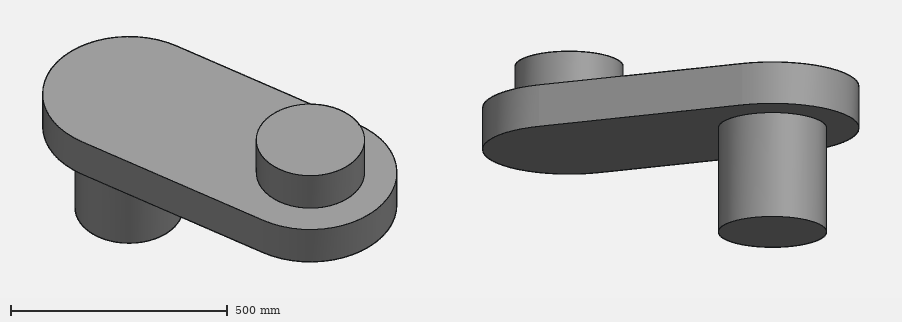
import cadquery as cq

arm_length = 900.0
arm_width = 400.0
arm_thickness = 100.0
pin_spacing = arm_length - arm_width

pin_diameter = 250.0
lower_pin_length = pin_diameter
upper_pin_length = arm_thickness


def make_pin(x, bottom_z, length):
    """Upright cylinder centred on the arm's long axis."""
    return (
        cq.Workplane("XY", origin=(x, 0, bottom_z))
        .circle(pin_diameter / 2)
        .extrude(length)
    )


arm = cq.Workplane("XY").slot2D(arm_length, arm_width).extrude(arm_thickness)
lower_pin = make_pin(-pin_spacing / 2, -lower_pin_length, lower_pin_length)
upper_pin = make_pin(pin_spacing / 2, arm_thickness, upper_pin_length)

result = arm.union(lower_pin).union(upper_pin)